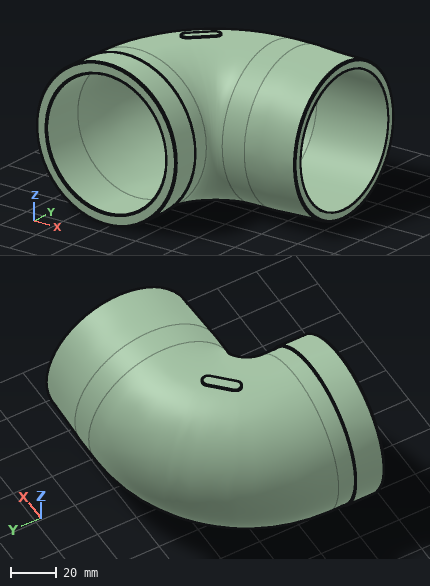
import cadquery as cq
import math

overall_x = 121.0
overall_y = 104.5
body_diameter = 76.1
bore_diameter = 65.7
bend_radius = 43.0

collar_diameter = 77.0
socket_end = overall_y - body_diameter / 2
collar_length = 15.0

spigot_end = overall_x - collar_diameter / 2
taper_length = 27.2
taper_end_diameter = 74.1

collar_mouth_chamfer = 0.6
collar_back_chamfer = 0.4
spigot_chamfer = 0.5
bore_chamfer = 0.5

plate_length = 18.4
plate_width = 6.0
plate_top = 38.5
plate_chamfer = 0.4

socket_start = cq.Plane(origin=(0, -bend_radius, 0), xDir=(1, 0, 0), normal=(0, -1, 0))
spigot_start = cq.Plane(origin=(bend_radius, 0, 0), xDir=(0, 1, 0), normal=(1, 0, 0))
socket_face = cq.Plane(origin=(0, -socket_end, 0), xDir=(1, 0, 0), normal=(0, 1, 0))
taper_start = cq.Plane(
    origin=(spigot_end - taper_length, 0, 0), xDir=(0, 1, 0), normal=(1, 0, 0)
)


def cylinder(plane, diameter, length):
    return cq.Workplane(plane).circle(diameter / 2).extrude(length)


def quarter_bend(diameter):
    """Quarter torus joining the two legs, swung about a vertical line."""
    return (
        cq.Workplane(socket_start)
        .circle(diameter / 2)
        .revolve(90, (bend_radius, 0, 0), (bend_radius, -1, 0))
    )


def elbow(diameter, spigot_length):
    """Bend with a straight stretch of the same diameter at each end."""
    socket_leg = cylinder(socket_start, diameter, socket_end - bend_radius)
    spigot_leg = cylinder(spigot_start, diameter, spigot_length)
    return quarter_bend(diameter).union(socket_leg).union(spigot_leg)


def collar():
    ring = cylinder(socket_face, collar_diameter, collar_length)
    ring = ring.faces("<Y").chamfer(collar_mouth_chamfer)
    return ring.faces(">Y").chamfer(collar_back_chamfer)


def tapered_end():
    cone = (
        cq.Workplane(taper_start)
        .circle(body_diameter / 2)
        .workplane(offset=taper_length)
        .circle(taper_end_diameter / 2)
        .loft(ruled=True)
    )
    return cone.faces(">X").chamfer(spigot_chamfer)


def label_plate():
    """Oval plate over the middle of the bend, rising from within the wall."""
    middle = bend_radius * (1 - math.cos(math.radians(45)))
    wall_middle = (body_diameter + bore_diameter) / 4
    return (
        cq.Workplane("XY", origin=(middle, -middle, wall_middle))
        .slot2D(plate_length, plate_width, 45)
        .extrude(plate_top - wall_middle)
        .faces(">Z")
        .chamfer(plate_chamfer)
    )


def socket_bore_chamfer():
    mouth_radius = bore_diameter / 2 + bore_chamfer
    return (
        cq.Workplane(socket_face)
        .circle(mouth_radius)
        .workplane(offset=bore_chamfer)
        .circle(bore_diameter / 2)
        .loft(ruled=True)
    )


straight_spigot_length = spigot_end - taper_length - bend_radius
outside = elbow(body_diameter, straight_spigot_length).union(tapered_end())
outside = outside.union(collar()).union(label_plate())
bore = elbow(bore_diameter, spigot_end - bend_radius)
result = outside.cut(bore).cut(socket_bore_chamfer())